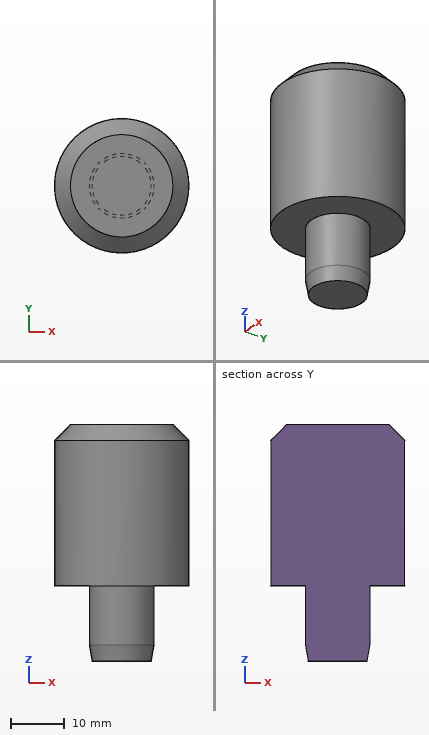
import cadquery as cq
import math

total_length = 44.0
head_diameter = 25.0
head_length = 30.0
head_chamfer = 3.0
pin_diameter = 12.0
lead_in_length = 3.0
lead_in_angle = 10.0

head_radius = head_diameter / 2
pin_radius = pin_diameter / 2
pin_length = total_length - head_length
tip_radius = pin_radius - lead_in_length * math.tan(math.radians(lead_in_angle))

half_section = (
    cq.Workplane("XZ")
    .moveTo(0, -pin_length)
    .lineTo(tip_radius, -pin_length)
    .lineTo(pin_radius, lead_in_length - pin_length)
    .lineTo(pin_radius, 0)
    .lineTo(head_radius, 0)
    .lineTo(head_radius, head_length - head_chamfer)
    .lineTo(head_radius - head_chamfer, head_length)
    .lineTo(0, head_length)
    .close()
)

result = half_section.revolve(360, (0, 0, 0), (0, 1, 0))